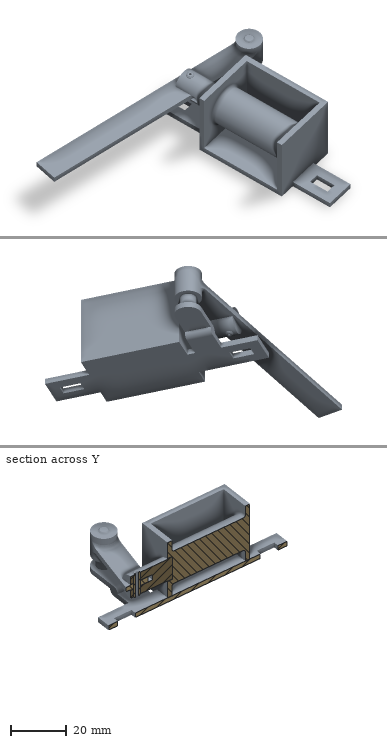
import cadquery as cq
import math


sheet_thickness = 2.2
spool_length = 37.8
flange_size = 25.0
spool_front = -flange_size / 2
back_wall_inner = flange_size / 2
back_wall_outer = back_wall_inner + sheet_thickness
axis_z = sheet_thickness + flange_size / 2
bracket_height = sheet_thickness + flange_size

strip_left_overhang = 27.0
strip_right_overhang = 17.0
strip_left = -strip_left_overhang
strip_right = spool_length + strip_right_overhang
strip_width = 12.0
slot_length = 8.0
slot_width = 4.0
slot_end_margin = 4.2

coil_diameter = 15.0
coil_fillet = 1.0

pivot_x = -8.0
pivot_y = 27.0
pivot_arm_width = 10.0
pivot_arm_left = pivot_x - pivot_arm_width / 2
pivot_arm_right = pivot_x + pivot_arm_width / 2
pivot_arm_top = 2 * sheet_thickness
step_upper_start = back_wall_inner
step_lower_end = step_upper_start + 2 * sheet_thickness

plunger_diameter = 10.0
plunger_slot_depth = 10.0
plunger_pin_inset = 3.0

lever_thickness = 2.2
lever_width = 10.0
lever_length = 95.6
lever_angle = 12.41
hub_diameter = 10.0
hub_height = 10.8
hub_fillet = 1.5

pin_x = pivot_x - pivot_y * math.tan(math.radians(lever_angle))
plunger_tip = pin_x - plunger_pin_inset

plunger_pin_diameter = 3.0
plunger_pin_bore = 1.0
plunger_pin_length = 11.0
end_chamfer = 0.45
shoulder_diameter = 6.0
pivot_diameter = 4.0
pivot_protrusion = 0.45


def block(x_start, x_end, y_start, y_end, z_start, z_end):
    size = (x_end - x_start, y_end - y_start, z_end - z_start)
    return cq.Workplane("XY").box(*size, centered=False).translate((x_start, y_start, z_start))


def rod_z(diameter, x, y, z_start, z_end):
    return cq.Workplane("XY", origin=(x, y, z_start)).circle(diameter / 2).extrude(z_end - z_start)


def rod_x(diameter, x_start, x_end):
    return cq.Workplane("YZ", origin=(x_start, 0, axis_z)).circle(diameter / 2).extrude(x_end - x_start)


def make_pivot_arm():
    """Stepped arm with rounded step corners and a round end under the pivot."""
    arm_end = pivot_y + pivot_arm_width / 2
    arc_offset = sheet_thickness * (1 - math.sqrt(0.5))
    stepped_sheet = (
        cq.Workplane("YZ", origin=(pivot_arm_left, 0, 0))
        .moveTo(0, 0)
        .lineTo(step_lower_end - sheet_thickness, 0)
        .threePointArc((step_lower_end - arc_offset, arc_offset), (step_lower_end, sheet_thickness))
        .lineTo(arm_end, sheet_thickness)
        .lineTo(arm_end, pivot_arm_top)
        .lineTo(step_upper_start + sheet_thickness, pivot_arm_top)
        .threePointArc(
            (step_upper_start + arc_offset, pivot_arm_top - arc_offset),
            (step_upper_start, sheet_thickness),
        )
        .lineTo(0, sheet_thickness)
        .close()
        .extrude(pivot_arm_width)
    )
    straight_part = block(pivot_arm_left, pivot_arm_right, 0, pivot_y, 0, pivot_arm_top)
    round_end = rod_z(pivot_arm_width, pivot_x, pivot_y, 0, pivot_arm_top)
    return stepped_sheet.intersect(straight_part.union(round_end))


def make_pivot_post():
    """Post on the pivot arm: the hub rests on its shoulder, its chamfered end stands proud."""
    hub_bottom = axis_z - hub_height / 2
    post_top = axis_z + hub_height / 2 + pivot_protrusion
    journal = rod_z(pivot_diameter, pivot_x, pivot_y, hub_bottom, post_top)
    journal = journal.faces(">Z").chamfer(end_chamfer)
    shoulder = rod_z(shoulder_diameter, pivot_x, pivot_y, pivot_arm_top, hub_bottom)
    return shoulder.union(journal)


def make_bracket():
    """Base plate, back wall, slotted mounting strip and pivot arm with its post."""
    base = block(0, spool_length, spool_front, back_wall_outer, 0, sheet_thickness)
    back_wall = block(0, spool_length, back_wall_inner, back_wall_outer, 0, bracket_height)
    strip = block(strip_left, strip_right, -strip_width / 2, strip_width / 2, 0, sheet_thickness)
    for slot_x in (strip_left + slot_end_margin, strip_right - slot_end_margin - slot_length):
        strip = strip.cut(
            block(slot_x, slot_x + slot_length, -slot_width / 2, slot_width / 2, 0, sheet_thickness)
        )
    return base.union(back_wall).union(strip).union(make_pivot_arm()).union(make_pivot_post())


def make_coil():
    """Coil barrel that flares into both flanges, revolved about the spool axis."""
    start = sheet_thickness
    end = spool_length - sheet_thickness
    radius = coil_diameter / 2
    flare_radius = radius + coil_fillet
    arc_offset = coil_fillet * (1 - math.sqrt(0.5))
    return (
        cq.Workplane("XZ", origin=(0, 0, axis_z))
        .moveTo(start, 0)
        .lineTo(start, flare_radius)
        .threePointArc((start + arc_offset, radius + arc_offset), (start + coil_fillet, radius))
        .lineTo(end - coil_fillet, radius)
        .threePointArc((end - arc_offset, radius + arc_offset), (end, flare_radius))
        .lineTo(end, 0)
        .close()
        .revolve(360, (0, 0, 0), (1, 0, 0))
    )


def make_spool():
    """Coil between two square flanges, with a seat for the plunger in the left flange."""
    spool = make_coil()
    for flange_x in (0, spool_length - sheet_thickness):
        spool = spool.union(
            block(
                flange_x,
                flange_x + sheet_thickness,
                spool_front,
                back_wall_inner,
                sheet_thickness,
                bracket_height,
            )
        )
    return spool.cut(rod_x(plunger_diameter, 0, sheet_thickness))


def make_plunger():
    """Plunger seated in the left flange, with a slot for the lever and a cross hole for its pin."""
    plunger = rod_x(plunger_diameter, plunger_tip, sheet_thickness)
    lever_slot = block(
        plunger_tip,
        plunger_tip + plunger_slot_depth,
        -plunger_diameter / 2,
        plunger_diameter / 2,
        axis_z - lever_thickness / 2,
        axis_z + lever_thickness / 2,
    )
    pin_hole = rod_z(plunger_pin_diameter, pin_x, 0, 0, 2 * axis_z)
    return plunger.cut(lever_slot).cut(pin_hole)


def make_lever():
    """Flat arm along -Y from a hub at the origin, then turned and moved onto the pivot."""
    half_arm = lever_thickness / 2
    half_width = lever_width / 2
    hub_radius = hub_diameter / 2
    flare_radius = hub_radius + hub_fillet
    flare_height = half_arm + hub_fillet
    arc_offset = hub_fillet * (1 - math.sqrt(0.5))

    hub = rod_z(hub_diameter, 0, 0, -hub_height / 2, hub_height / 2)
    arm = block(-half_width, half_width, -lever_length, 0, -half_arm, half_arm)
    flare = (
        cq.Workplane("XZ")
        .moveTo(0, -flare_height)
        .lineTo(hub_radius, -flare_height)
        .threePointArc((hub_radius + arc_offset, -half_arm - arc_offset), (flare_radius, -half_arm))
        .lineTo(flare_radius, half_arm)
        .threePointArc((hub_radius + arc_offset, half_arm + arc_offset), (hub_radius, flare_height))
        .lineTo(0, flare_height)
        .close()
        .revolve(360, (0, 0, 0), (0, 1, 0))
    )
    arm_side = block(-half_width, half_width, -flare_radius, 0, -flare_height, flare_height)

    lever = hub.union(arm).union(flare.intersect(arm_side))
    lever = lever.rotate((0, 0, 0), (0, 0, 1), -lever_angle).translate((pivot_x, pivot_y, axis_z))
    pivot_hole = rod_z(pivot_diameter, pivot_x, pivot_y, 0, 2 * axis_z)
    pin_hole = rod_z(plunger_pin_diameter, pin_x, 0, 0, 2 * axis_z)
    return lever.cut(pivot_hole).cut(pin_hole)


def make_plunger_pin():
    """Tubular pin through plunger and lever, chamfered at both ends."""
    bottom = axis_z - plunger_pin_length / 2
    top = axis_z + plunger_pin_length / 2
    pin = rod_z(plunger_pin_diameter, pin_x, 0, bottom, top)
    pin = pin.faces("<Z or >Z").chamfer(end_chamfer)
    return pin.cut(rod_z(plunger_pin_bore, pin_x, 0, bottom, top))


bracket = make_bracket()
spool = make_spool()
plunger = make_plunger()
lever = make_lever()
plunger_pin = make_plunger_pin()

result = cq.Compound.makeCompound(
    [bracket.val(), spool.val(), plunger.val(), lever.val(), plunger_pin.val()]
)